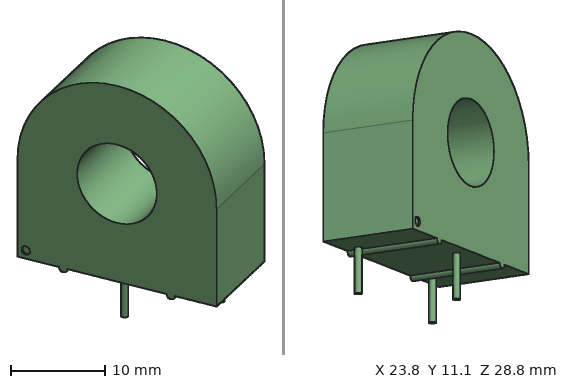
import cadquery as cq

body_width = 23.8
body_depth = 11.12
total_height = 28.8
body_radius = body_width / 2
base_z = -body_radius
back_y = body_depth / 2
front_y = -back_y
bore_diameter = 9.5

pin_diameter = 0.8
pin_length = total_height - body_width
pin_spacing_x = 7.6
pin_offset_y = 3.8

rib_diameter = 1.0
rib_offset_x = 6.42

mark_diameter = 1.0
mark_depth = 0.2
mark_inset = 1.0


def make_housing():
    """D-shaped block extruded along Y with its bore."""
    block = (
        cq.Workplane("XZ", origin=(0, back_y, 0))
        .moveTo(-body_radius, base_z)
        .lineTo(body_radius, base_z)
        .lineTo(body_radius, 0)
        .threePointArc((0, body_radius), (-body_radius, 0))
        .close()
        .extrude(body_depth)
    )
    return block.cut(cylinder_along_y(0, 0, bore_diameter))


def cylinder_along_y(x, z, diameter):
    """Cylinder spanning the full depth of the housing."""
    return cq.Workplane("XZ", origin=(x, back_y, z)).circle(diameter / 2).extrude(body_depth)


def make_pin(x, y):
    """Round pin hanging down from the base."""
    return cq.Workplane("XY", origin=(x, y, base_z)).circle(pin_diameter / 2).extrude(-pin_length)


def make_mark():
    """Disc removed from the lower left corner of the front face."""
    return (
        cq.Workplane("XZ", origin=(-body_radius + mark_inset, front_y, base_z + mark_inset))
        .circle(mark_diameter / 2)
        .extrude(-mark_depth)
    )


result = make_housing().cut(make_mark())

for rib_x in (-rib_offset_x, rib_offset_x):
    result = result.union(cylinder_along_y(rib_x, base_z, rib_diameter))

pin_places = [
    (-pin_spacing_x, pin_offset_y),
    (0, -pin_offset_y),
    (pin_spacing_x, pin_offset_y),
]
for pin_x, pin_y in pin_places:
    result = result.union(make_pin(pin_x, pin_y))